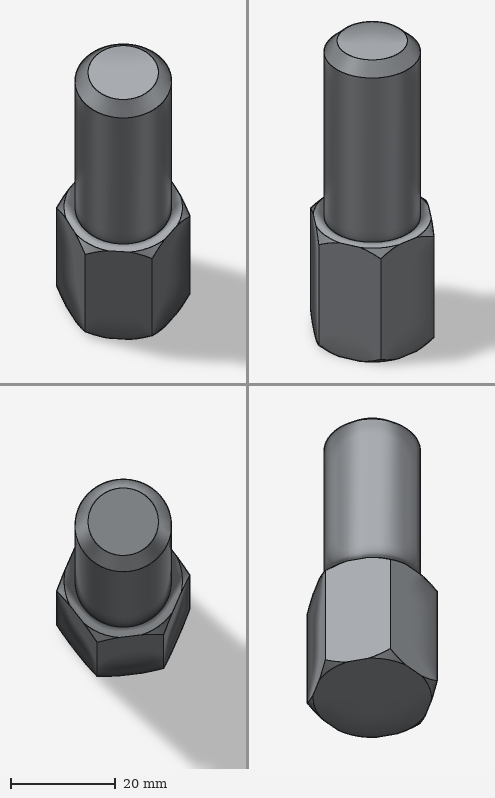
import cadquery as cq
import math

total_height = 66.0
hex_height = 26.0
across_flats = 22.25
shank_diameter = 18.5
shank_chamfer = 2.5
hex_corner_chamfer = 1.5

across_corners = across_flats / math.cos(math.pi / 6)


def hex_body():
    """Hexagonal base with its corners turned off conically at both ends."""
    prism = cq.Workplane("XY").polygon(6, across_corners).extrude(hex_height)
    turned_blank = (
        cq.Workplane("XY")
        .circle(across_corners / 2)
        .extrude(hex_height)
        .faces("<Z or >Z")
        .chamfer(hex_corner_chamfer)
    )
    return prism.intersect(turned_blank)


def shank():
    """Round shank standing on the hexagon, chamfered at its free end."""
    return (
        cq.Workplane("XY")
        .workplane(offset=hex_height)
        .circle(shank_diameter / 2)
        .extrude(total_height - hex_height)
        .faces(">Z")
        .chamfer(shank_chamfer)
    )


result = hex_body().union(shank())